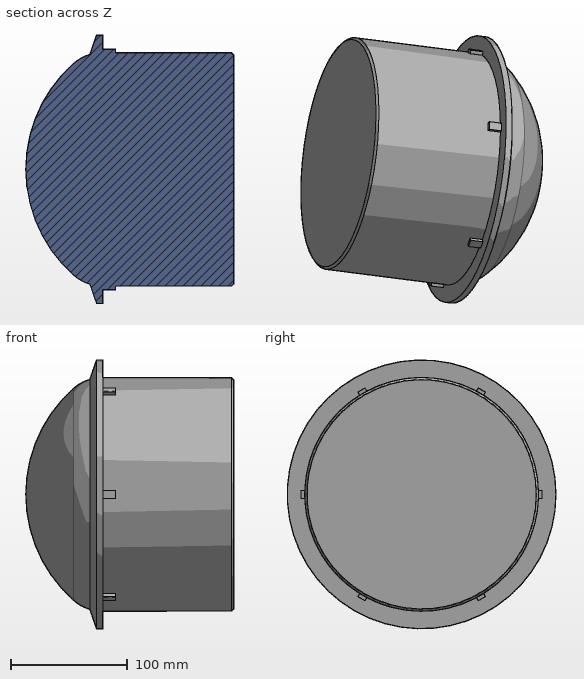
import cadquery as cq
import math


BARREL_RADIUS = 100.0
BARREL_LENGTH = 112.0
END_CHAMFER = 2.0

FLANGE_RADIUS = 115.0
FLANGE_RIM_THICKNESS = 5.5
FLANGE_THICKNESS = 11.2

DOME_HEIGHT = 66.0
DOME_RADIUS = 121.0
SHOULDER_RADIUS = 37.0

TAB_COUNT = 6
TAB_LENGTH = 11.0
TAB_WIDTH = 7.0
TAB_HEIGHT = 3.0
TAB_EMBED = 2.0


def on_arc(center, radius, angle):
    """Point on a circle; the angle is measured from -X towards the outside."""
    return (center[0] - radius * math.cos(angle), center[1] + radius * math.sin(angle))


def make_body():
    """Revolve the dome, flange and barrel as one profile of (X, radius) points."""
    dome_center = (DOME_RADIUS - DOME_HEIGHT, 0.0)
    shoulder_center_radius = BARREL_RADIUS - SHOULDER_RADIUS
    blend_angle = math.asin(shoulder_center_radius / (DOME_RADIUS - SHOULDER_RADIUS))
    shoulder_center = on_arc(dome_center, DOME_RADIUS - SHOULDER_RADIUS, blend_angle)

    cone_front_x = -FLANGE_THICKNESS
    cone_front_angle = math.acos((shoulder_center[0] - cone_front_x) / SHOULDER_RADIUS)
    shoulder_mid_angle = (blend_angle + cone_front_angle) / 2

    profile = (
        cq.Workplane("XY")
        .moveTo(-DOME_HEIGHT, 0)
        .threePointArc(
            on_arc(dome_center, DOME_RADIUS, blend_angle / 2),
            on_arc(dome_center, DOME_RADIUS, blend_angle),
        )
        .threePointArc(
            on_arc(shoulder_center, SHOULDER_RADIUS, shoulder_mid_angle),
            on_arc(shoulder_center, SHOULDER_RADIUS, cone_front_angle),
        )
        .lineTo(-FLANGE_RIM_THICKNESS, FLANGE_RADIUS)
        .lineTo(0, FLANGE_RADIUS)
        .lineTo(0, BARREL_RADIUS)
        .lineTo(BARREL_LENGTH - END_CHAMFER, BARREL_RADIUS)
        .lineTo(BARREL_LENGTH, BARREL_RADIUS - END_CHAMFER)
        .lineTo(BARREL_LENGTH, 0)
        .close()
    )
    return profile.revolve(360, (0, 0, 0), (1, 0, 0))


def make_tab(angle):
    """A flat tab on the barrel against the flange; angle in degrees from +Y about X."""
    return (
        cq.Workplane("XY")
        .box(TAB_LENGTH, TAB_HEIGHT + TAB_EMBED, TAB_WIDTH, centered=(False, False, True))
        .translate((0, BARREL_RADIUS - TAB_EMBED, 0))
        .rotate((0, 0, 0), (1, 0, 0), angle)
    )


result = make_body()
for index in range(TAB_COUNT):
    result = result.union(make_tab(index * 360 / TAB_COUNT))